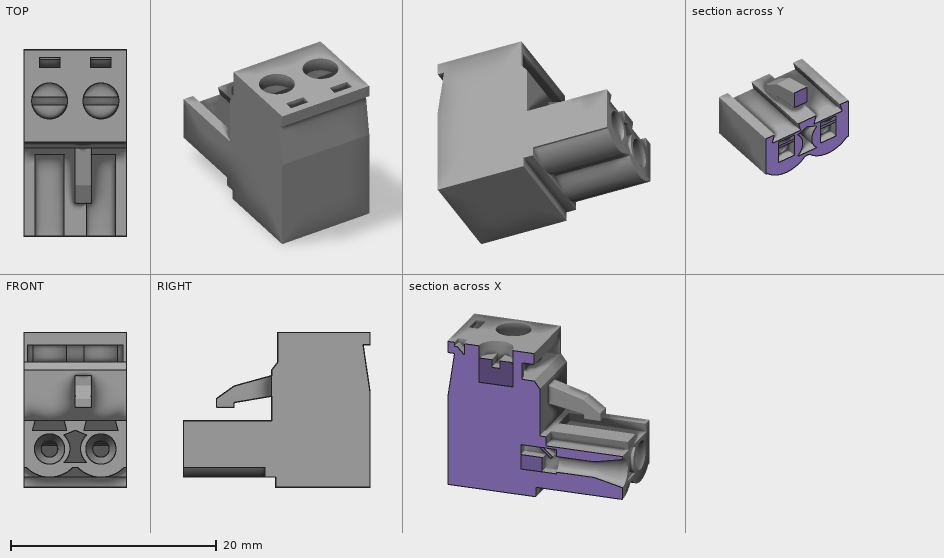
import cadquery as cq
import math


width = 10.0
length = 18.2
height = 15.1
pole_pitch = 5.0
poles = (-pole_pitch / 2, pole_pitch / 2)

upper_face_y = 9.2
lower_face_y = 8.59
step_top_z = 12.21
step_bottom_z = 11.43
tongue_top_z = 6.52
tongue_bottom_z = 1.0
base_front_y = 8.99
lip_bottom_z = 13.89
lip_overhang = 0.67
back_slope_end_z = 9.35

tongue_feature_depth = 7.97
pocket_depth = 0.95
pocket_top_width = 2.84
pocket_floor_width = 3.33
socket_z = 3.75
socket_mouth_diameter = 2.95
socket_diameter = 1.6
funnel_depth = 3.0
keel_shoulder_z = 1.95
keel_radius = 3.17
recess_wall_radius = 1.98
recess_half_width = 1.11
recess_floor_z = 2.42
recess_shoulder_z = 5.11

screw_y = 13.2
screw_diameter = 3.5
screw_top_z = 13.83
screw_length = 2.55
screw_rim_radius = 0.2
screw_slot_width = 0.8
screw_slot_depth = 0.8
window_width = 9.35
window_top_z = 13.9
boss_radius = 2.77
window_back_y = 10.95

slot_width = 2.0
slot_front_y = 16.47
slot_back_y = 17.45
slot_ledge = 0.24
slot_ledge_depth = 0.42

chamber_width = 1.82
chamber_front_y = 6.92
chamber_back_y = 10.55
chamber_floor_z = 2.77
chamber_top_z = 5.28
clamp_front_y = 8.37
clamp_lip_z = 4.11
clamp_top_z = 4.28
clamp_lip_angle = 36.4
leaf_tip_y = 7.46
leaf_tip_z = 4.24
leaf_thickness = 0.27
leaf_angle = 40.9

latch_width = 1.6
latch_center_x = 0.78
latch_edge_radius = 0.1
latch_root_top_z = 10.9
latch_root_bottom_z = 8.88
latch_knee_y = 4.95
latch_knee_z = 9.9
latch_tip_y = 3.22
latch_tip_z = 8.66
latch_hook_root_z = 8.26
latch_hook_z = 7.79


def extrude_across(points, center_x, extent):
    """Extrude a closed (Y, Z) outline along X, centred on center_x."""
    outline = cq.Workplane("YZ", origin=(center_x, 0, 0)).polyline(points).close()
    return outline.extrude(extent / 2, both=True)


def front_plane():
    """Workplane at the plug tip with local axes X and Z whose extrusions run towards +Y."""
    return cq.Workplane(cq.Plane(origin=(0, 0, 0), xDir=(1, 0, 0), normal=(0, -1, 0)))


def housing_shell():
    """Outer block with the plug tongue in front and the lip at the back."""
    return extrude_across(
        [
            (0, tongue_bottom_z),
            (base_front_y, tongue_bottom_z),
            (base_front_y, 0),
            (length, 0),
            (length, back_slope_end_z),
            (length - lip_overhang, lip_bottom_z),
            (length, lip_bottom_z),
            (length, height),
            (upper_face_y, height),
            (upper_face_y, step_top_z),
            (lower_face_y, step_bottom_z),
            (lower_face_y, tongue_top_z),
            (0, tongue_top_z),
        ],
        0,
        width,
    )


def keel_relief():
    """Material below the two rounded keels on the underside of the tongue."""
    relief = front_plane().rect(width, 2 * keel_shoulder_z).extrude(-tongue_feature_depth)
    for pole_x in poles:
        keel = front_plane().center(pole_x, tongue_bottom_z + keel_radius).circle(keel_radius)
        relief = relief.cut(keel.extrude(-tongue_feature_depth))
    return relief


def dovetail_pocket(pole_x):
    """Undercut groove along the top of the tongue."""
    floor_z = tongue_top_z - pocket_depth
    return (
        front_plane()
        .polyline(
            [
                (pole_x - pocket_floor_width / 2, floor_z),
                (pole_x + pocket_floor_width / 2, floor_z),
                (pole_x + pocket_top_width / 2, tongue_top_z),
                (pole_x - pocket_top_width / 2, tongue_top_z),
            ]
        )
        .close()
        .extrude(-tongue_feature_depth)
    )


def center_recess():
    """Waisted recess between the sockets, leaving a round wall about each one."""
    peak_z = tongue_top_z - pocket_depth
    waist = pole_pitch / 2 - recess_wall_radius
    return (
        front_plane()
        .moveTo(-recess_half_width, recess_floor_z)
        .lineTo(recess_half_width, recess_floor_z)
        .threePointArc((waist, socket_z), (recess_half_width, recess_shoulder_z))
        .lineTo(0, peak_z)
        .lineTo(-recess_half_width, recess_shoulder_z)
        .threePointArc((-waist, socket_z), (-recess_half_width, recess_floor_z))
        .close()
        .extrude(-tongue_feature_depth)
    )


def socket(pole_x):
    """Tapered mouth followed by a straight bore to the contact chamber."""
    profile = [
        (0, 0),
        (socket_mouth_diameter / 2, 0),
        (socket_diameter / 2, funnel_depth),
        (socket_diameter / 2, chamber_front_y),
        (0, chamber_front_y),
    ]
    turned = cq.Workplane("XY").polyline(profile).close().revolve(360, (0, 0, 0), (0, 1, 0))
    return turned.translate((pole_x, 0, socket_z))


def chamber(pole_x):
    """Box-shaped cavity that holds the contact leaf and the clamp."""
    return extrude_across(
        [
            (chamber_front_y, chamber_floor_z),
            (chamber_back_y, chamber_floor_z),
            (chamber_back_y, chamber_top_z),
            (chamber_front_y, chamber_top_z),
        ],
        pole_x,
        chamber_width,
    )


def window():
    """Wide opening under the roof, with the round screw bosses left standing at its back."""
    opening = (
        cq.Workplane("XY", origin=(0, 0, step_top_z))
        .rect(window_width, 2 * (window_back_y - upper_face_y))
        .extrude(window_top_z - step_top_z)
        .translate((0, upper_face_y, 0))
    )
    for pole_x in poles:
        boss = cq.Workplane("XY", origin=(pole_x, screw_y, step_top_z)).circle(boss_radius)
        opening = opening.cut(boss.extrude(window_top_z - step_top_z))
    return opening


def screw_bore(pole_x):
    """Blind hole from the roof down to the seat of the screw."""
    seat_z = screw_top_z - screw_length
    bore = cq.Workplane("XY", origin=(pole_x, screw_y, seat_z)).circle(screw_diameter / 2)
    return bore.extrude(height - seat_z)


def test_slot(pole_x):
    """Slot in the roof with a flat ledge at the back and a floor falling at 45 degrees."""
    ledge_z = height - slot_ledge_depth
    ledge_front_y = slot_back_y - slot_ledge
    return extrude_across(
        [
            (slot_back_y, height),
            (slot_back_y, ledge_z),
            (ledge_front_y, ledge_z),
            (slot_front_y, ledge_z - (ledge_front_y - slot_front_y)),
            (slot_front_y, height),
        ],
        pole_x,
        slot_width,
    )


def make_housing():
    body = housing_shell().cut(keel_relief()).cut(center_recess()).cut(window())
    for pole_x in poles:
        for feature in (dovetail_pocket, socket, chamber, screw_bore, test_slot):
            body = body.cut(feature(pole_x))
    return body


def make_screw(pole_x):
    """Slotted screw head with a rounded rim, resting on the floor of its bore."""
    blank = (
        cq.Workplane("XY", origin=(pole_x, screw_y, screw_top_z))
        .circle(screw_diameter / 2)
        .extrude(-screw_length)
        .faces(">Z")
        .edges()
        .fillet(screw_rim_radius)
    )
    slot = (
        cq.Workplane("XY", origin=(pole_x, screw_y, screw_top_z))
        .rect(2 * screw_diameter, screw_slot_width)
        .extrude(-screw_slot_depth)
    )
    return blank.cut(slot)


def make_clamp(pole_x):
    """Clamp block closing the rear of the chamber, with an overhanging lip on its front face."""
    lip_reach = (clamp_top_z - clamp_lip_z) * math.tan(math.radians(clamp_lip_angle))
    return extrude_across(
        [
            (clamp_front_y, chamber_floor_z),
            (chamber_back_y, chamber_floor_z),
            (chamber_back_y, clamp_top_z),
            (clamp_front_y - lip_reach, clamp_top_z),
            (clamp_front_y, clamp_lip_z),
        ],
        pole_x,
        chamber_width,
    )


def make_leaf(pole_x):
    """Contact leaf hanging from the chamber ceiling and sloping down towards the plug tip."""
    slope = math.radians(leaf_angle)
    tip_top_y = leaf_tip_y - leaf_thickness * math.sin(slope)
    tip_top_z = leaf_tip_z + leaf_thickness * math.cos(slope)
    return extrude_across(
        [
            (leaf_tip_y, leaf_tip_z),
            (leaf_tip_y + (chamber_top_z - leaf_tip_z) / math.tan(slope), chamber_top_z),
            (tip_top_y + (chamber_top_z - tip_top_z) / math.tan(slope), chamber_top_z),
            (tip_top_y, tip_top_z),
        ],
        pole_x,
        chamber_width,
    )


def make_latch():
    """Hooked latch arm standing on the lower front face, rounded on all edges off the root."""
    arm = extrude_across(
        [
            (lower_face_y, latch_root_top_z),
            (latch_knee_y, latch_knee_z),
            (latch_tip_y, latch_tip_z),
            (latch_tip_y, latch_hook_z),
            (latch_knee_y, latch_hook_z),
            (latch_knee_y, latch_hook_root_z),
            (lower_face_y, latch_root_bottom_z),
        ],
        latch_center_x,
        latch_width,
    )
    return arm.edges("not >Y").fillet(latch_edge_radius)


housing = make_housing()
latch = make_latch()
screws = [make_screw(pole_x) for pole_x in poles]
clamps = [make_clamp(pole_x) for pole_x in poles]
leaves = [make_leaf(pole_x) for pole_x in poles]

bodies = [housing, latch] + screws + clamps + leaves
result = cq.Compound.makeCompound([body.val() for body in bodies])